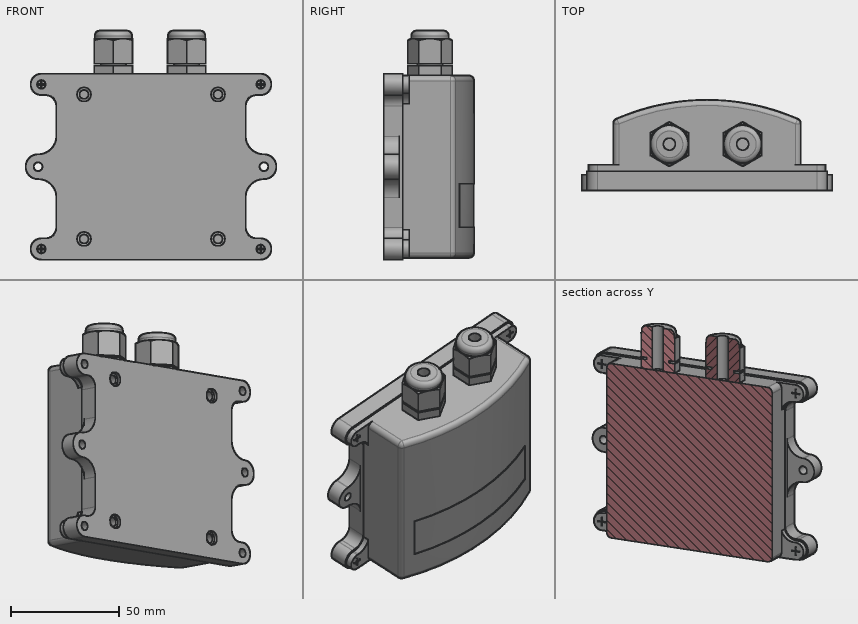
import cadquery as cq
import math


OVERALL_WIDTH = 116
OVERALL_HEIGHT = 106.0

BASE_THICKNESS = 8.9
BASE_HALF_HEIGHT = 43.0
BASE_HALF_WIDTH = 43.8
EAR_RADIUS = 5.0
EAR_FILLET = 5.0
EAR_X = 50.7
EAR_Z = BASE_HALF_HEIGHT - EAR_RADIUS
LUG_THICKNESS = 7.3
LUG_RADIUS = 5.8
LUG_FILLET = 8.2
LUG_X = OVERALL_WIDTH / 2 - LUG_RADIUS
FIXING_HOLE_DIAMETER = 4.0

SCREW_X = 31.0
SCREW_Z = 33.4
SCREW_HOLE_DIAMETER = 4.2
SCREW_HOLE_DEPTH = 5.8
COUNTERBORE_DIAMETER = 6.5
COUNTERBORE_DEPTH = 1.7

FLANGE_INSET = 0.8
FLANGE_EAR_FILLET = 6.8
FLANGE_THICKNESS = 3.0
BOX_HALF_WIDTH = 43.4
BOX_HALF_HEIGHT = BASE_HALF_HEIGHT - FLANGE_INSET
BOX_TOP_Y = 42.0
CROWN_RADIUS = 104.4
BOX_FILLET = 2.5
CROSS_SLOT_WIDTH = 0.3

RECESS_HALF_WIDTH = 36.8
RECESS_TOP_Z = -7.8
RECESS_BOTTOM_Z = -28.0
RECESS_DEPTH = 0.2

GLAND_XS = (-17.4, 16.5)
GLAND_Y = 21.5
HEX_ACROSS_FLATS = 17.9
HEX_ACROSS_CORNERS = HEX_ACROSS_FLATS / math.cos(math.pi / 6)
GLAND_BOTTOM_Z = BOX_HALF_HEIGHT
HEX_BASE_TOP_Z = 46.7
NUT_BOTTOM_Z = 47.6
NUT_TOP_Z = 59.0
GLAND_TOP_Z = OVERALL_HEIGHT - BASE_HALF_HEIGHT
NECK_DIAMETER = 11.8
CAP_DIAMETER = 17.4
CAP_FILLET = 2.5
NUT_CHAMFER_WIDTH = 1.2
NUT_CHAMFER_HEIGHT = 0.7
BORE_DIAMETER = 5.6


def plane_at(y):
    """Sketch plane facing -Y at the given height, with local axes X and Z."""
    return cq.Workplane("XZ", origin=(0, y, 0))


def mirror_four_ways(quarter):
    """Complete a quarter that lies on the +X, +Z side."""
    half = quarter.union(quarter.mirror("YZ"))
    return half.union(half.mirror("XY"))


def cylinders(points, diameter, start_y, end_y):
    """Round pegs along +Y at the given X, Z points."""
    return plane_at(start_y).pushPoints(points).circle(diameter / 2).extrude(start_y - end_y)


def four_points(x, z):
    return [(side * x, end * z) for side in (-1, 1) for end in (-1, 1)]


def eared_plate(inset, fillet, start_y, thickness):
    """Plate with four rounded corner ears, the outline moved inward by the inset.

    The fillet is the concave radius between each ear and the side of the plate.
    """
    half_height = BASE_HALF_HEIGHT - inset
    half_width = BASE_HALF_WIDTH - inset
    ear_radius = EAR_RADIUS - inset
    ear_bottom = EAR_Z - ear_radius
    quarter = (
        plane_at(start_y)
        .lineTo(0, half_height)
        .lineTo(EAR_X, half_height)
        .threePointArc((EAR_X + ear_radius, EAR_Z), (EAR_X, ear_bottom))
        .lineTo(half_width + fillet, ear_bottom)
        .tangentArcPoint((half_width, ear_bottom - fillet), relative=False)
        .lineTo(half_width, 0)
        .close()
        .extrude(-thickness)
    )
    return mirror_four_ways(quarter)


def side_lugs():
    """Two rounded lugs that flare into the plate sides."""
    quarter = (
        plane_at(0)
        .lineTo(LUG_X + LUG_RADIUS, 0)
        .radiusArc((LUG_X, LUG_RADIUS), -LUG_RADIUS)
        .lineTo(BASE_HALF_WIDTH + LUG_FILLET, LUG_RADIUS)
        .radiusArc((BASE_HALF_WIDTH, LUG_RADIUS + LUG_FILLET), LUG_FILLET)
        .lineTo(0, LUG_RADIUS + LUG_FILLET)
        .close()
        .extrude(-LUG_THICKNESS)
    )
    return mirror_four_ways(quarter)


def make_base():
    plate = eared_plate(0, EAR_FILLET, 0, BASE_THICKNESS).union(side_lugs())
    fixing_points = four_points(EAR_X, EAR_Z) + [(-LUG_X, 0), (LUG_X, 0)]
    screw_points = four_points(SCREW_X, SCREW_Z)
    fixing_holes = cylinders(fixing_points, FIXING_HOLE_DIAMETER, 0, BASE_THICKNESS)
    screw_holes = cylinders(screw_points, SCREW_HOLE_DIAMETER, 0, SCREW_HOLE_DEPTH)
    counterbores = cylinders(screw_points, COUNTERBORE_DIAMETER, 0, COUNTERBORE_DEPTH)
    return plate.cut(fixing_holes).cut(screw_holes).cut(counterbores)


def crown_y(x, radius):
    """Height at x of an arc of the given radius about the crown's axis."""
    return BOX_TOP_Y - CROWN_RADIUS + math.sqrt(radius**2 - x**2)


def cover_box():
    """Box with a curved crown, every edge rounded except those on the flange."""
    side_y = crown_y(BOX_HALF_WIDTH, CROWN_RADIUS)
    box = (
        cq.Workplane("XY", origin=(0, 0, -BOX_HALF_HEIGHT))
        .moveTo(-BOX_HALF_WIDTH, BASE_THICKNESS)
        .lineTo(-BOX_HALF_WIDTH, side_y)
        .threePointArc((0, BOX_TOP_Y), (BOX_HALF_WIDTH, side_y))
        .lineTo(BOX_HALF_WIDTH, BASE_THICKNESS)
        .close()
        .extrude(2 * BOX_HALF_HEIGHT)
    )
    return box.edges("not <Y").fillet(BOX_FILLET)


def label_recess():
    """Cutter whose floor runs parallel to the crown."""
    floor_radius = CROWN_RADIUS - RECESS_DEPTH
    edge_y = crown_y(RECESS_HALF_WIDTH, floor_radius)
    return (
        cq.Workplane("XY", origin=(0, 0, RECESS_BOTTOM_Z))
        .moveTo(-RECESS_HALF_WIDTH, edge_y)
        .threePointArc((0, crown_y(0, floor_radius)), (RECESS_HALF_WIDTH, edge_y))
        .lineTo(RECESS_HALF_WIDTH, BOX_TOP_Y)
        .lineTo(-RECESS_HALF_WIDTH, BOX_TOP_Y)
        .close()
        .extrude(RECESS_TOP_Z - RECESS_BOTTOM_Z)
    )


def cross_slots():
    """Thin crosses through the flange, as long as the fixing holes are wide."""
    bars = plane_at(BASE_THICKNESS).pushPoints(four_points(EAR_X, EAR_Z))
    across = bars.rect(FIXING_HOLE_DIAMETER, CROSS_SLOT_WIDTH).extrude(-FLANGE_THICKNESS)
    upright = bars.rect(CROSS_SLOT_WIDTH, FIXING_HOLE_DIAMETER).extrude(-FLANGE_THICKNESS)
    return across.union(upright)


def make_cover():
    flange = eared_plate(FLANGE_INSET, FLANGE_EAR_FILLET, BASE_THICKNESS, FLANGE_THICKNESS)
    return flange.union(cover_box()).cut(label_recess()).cut(cross_slots())


def hex_prism(x, bottom_z, top_z):
    """Hexagonal prism along Z with two corners on the gland's Y axis."""
    return (
        cq.Workplane("XY", origin=(x, GLAND_Y, bottom_z))
        .transformed(rotate=(0, 0, 90))
        .polygon(6, HEX_ACROSS_CORNERS)
        .extrude(top_z - bottom_z)
    )


def round_bar(x, diameter, bottom_z, top_z):
    return (
        cq.Workplane("XY", origin=(x, GLAND_Y, bottom_z))
        .circle(diameter / 2)
        .extrude(top_z - bottom_z)
    )


def gland_nut(x):
    """Hexagonal nut with its upper corners turned off to a cone."""
    turned_bar = (
        round_bar(x, HEX_ACROSS_CORNERS, NUT_BOTTOM_Z, NUT_TOP_Z)
        .faces(">Z")
        .chamfer(NUT_CHAMFER_HEIGHT, NUT_CHAMFER_WIDTH)
    )
    return hex_prism(x, NUT_BOTTOM_Z, NUT_TOP_Z).intersect(turned_bar)


def make_gland(x):
    neck = round_bar(x, NECK_DIAMETER, HEX_BASE_TOP_Z, NUT_BOTTOM_Z)
    cap = round_bar(x, CAP_DIAMETER, NUT_TOP_Z, GLAND_TOP_Z).faces(">Z").edges().fillet(CAP_FILLET)
    bore = round_bar(x, BORE_DIAMETER, GLAND_BOTTOM_Z, GLAND_TOP_Z)
    hex_base = hex_prism(x, GLAND_BOTTOM_Z, HEX_BASE_TOP_Z)
    return hex_base.union(neck).union(gland_nut(x)).union(cap).cut(bore)


base = make_base()
cover = make_cover()
glands = [make_gland(x) for x in GLAND_XS]

result = cq.Compound.makeCompound([base.val(), cover.val(), *(gland.val() for gland in glands)])